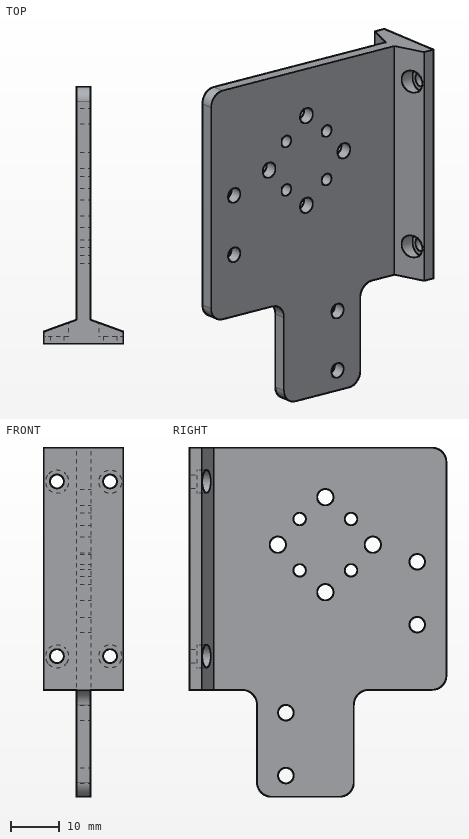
import cadquery as cq

width = 16.5
depth = 53.0
height = 72.0

plate_thickness = 2.95
plate_bottom = 22.0
corner_radius = 3.0
tab_front = 13.9
tab_width = 20.0
tab_back = tab_front + tab_width

flange_edge_thickness = 2.5
flange_root_thickness = 5.0

flange_hole_diameter = 2.8
counterbore_diameter = 4.75
counterbore_floor_y = 1.5
flange_hole_spacing_x = 10.95
flange_hole_spacing_z = 36.0
plate_center_z = (plate_bottom + height) / 2

pattern_center_y = 28.0
pattern_center_z = 52.0
cross_radius = 9.8
cross_hole_diameter = 3.3
square_spacing = 10.6
square_hole_diameter = 2.5

pair_hole_diameter = 3.2
pair_spacing = 12.95
back_pair_y = 46.95
back_pair_z = 42.0
tab_pair_y = 19.9
tab_pair_z = 10.9


def plate_block(front, back, bottom, top):
    """Slab of plate thickness, centred on X = 0."""
    slab = cq.Workplane("XY").box(plate_thickness, back - front, top - bottom, centered=(True, False, False))
    return slab.translate((0, front, bottom))


def plate_holes(points, diameter):
    """Cylinders along X that pass through the plate at the given (Y, Z) points."""
    return cq.Workplane("YZ").pushPoints(points).circle(diameter / 2).extrude(plate_thickness, both=True)


def vertical_pair(y, z):
    return [(y, z - pair_spacing / 2), (y, z + pair_spacing / 2)]


def make_plate():
    plate = plate_block(0, depth, plate_bottom, height)
    plate = plate.edges("|X and >Y").fillet(corner_radius)
    tab = plate_block(tab_front, tab_back, 0, plate_center_z)
    tab = tab.edges("|X and <Z").fillet(corner_radius)
    body = plate.union(tab)
    for y in (tab_front, tab_back):
        corner = cq.selectors.NearestToPointSelector((0, y, plate_bottom))
        body = body.edges("|X").edges(corner).fillet(corner_radius)
    return body


def make_flange():
    half_width = width / 2
    half_root = plate_thickness / 2
    return (
        cq.Workplane("XY", origin=(0, 0, plate_bottom))
        .moveTo(-half_width, 0)
        .lineTo(half_width, 0)
        .lineTo(half_width, flange_edge_thickness)
        .lineTo(half_root, flange_root_thickness)
        .lineTo(-half_root, flange_root_thickness)
        .lineTo(-half_width, flange_edge_thickness)
        .close()
        .extrude(height - plate_bottom)
    )


def flange_holes(diameter, start_y):
    """Cylinders along Y at the four screw places, from start_y to the sloped side."""
    return (
        cq.Workplane("XZ", origin=(0, start_y, plate_center_z))
        .rarray(flange_hole_spacing_x, flange_hole_spacing_z, 2, 2)
        .circle(diameter / 2)
        .extrude(start_y - flange_root_thickness)
    )


cross_points = [
    (pattern_center_y + cross_radius, pattern_center_z),
    (pattern_center_y - cross_radius, pattern_center_z),
    (pattern_center_y, pattern_center_z + cross_radius),
    (pattern_center_y, pattern_center_z - cross_radius),
]
square_points = [
    (pattern_center_y + side_y * square_spacing / 2, pattern_center_z + side_z * square_spacing / 2)
    for side_y in (-1, 1)
    for side_z in (-1, 1)
]
pair_points = vertical_pair(back_pair_y, back_pair_z) + vertical_pair(tab_pair_y, tab_pair_z)

flange = make_flange()
flange = flange.cut(flange_holes(flange_hole_diameter, 0))
flange = flange.cut(flange_holes(counterbore_diameter, counterbore_floor_y))

result = make_plate().union(flange)
result = result.cut(plate_holes(cross_points, cross_hole_diameter))
result = result.cut(plate_holes(square_points, square_hole_diameter))
result = result.cut(plate_holes(pair_points, pair_hole_diameter))